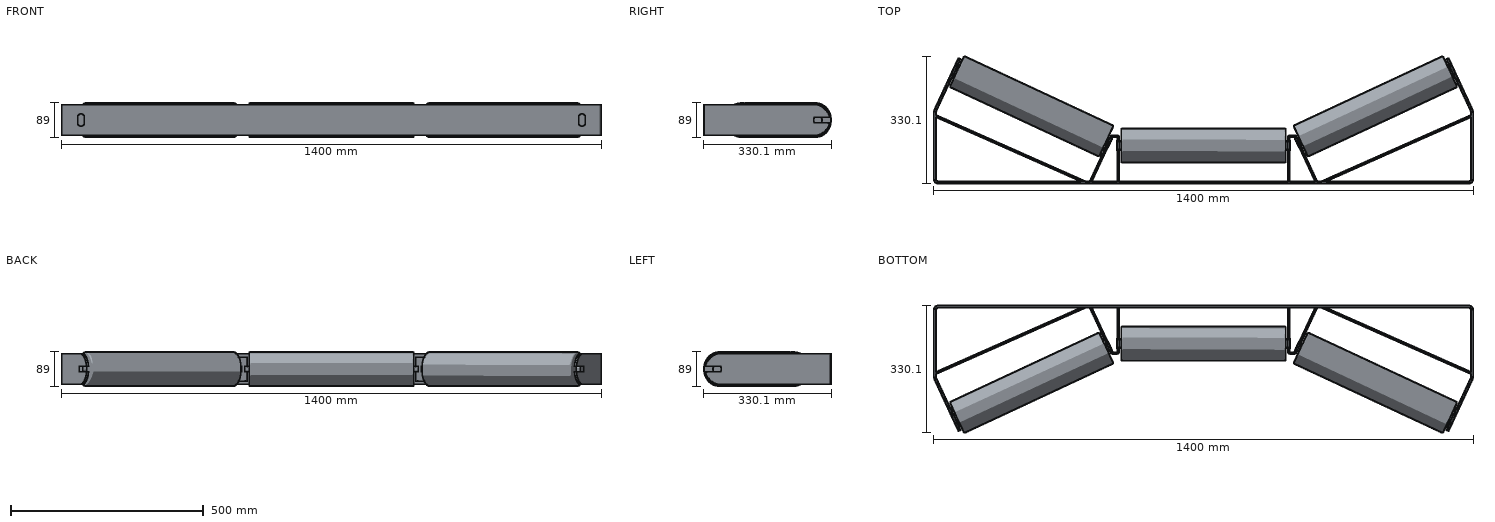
import cadquery as cq
import math

SHEET = 6.0
STRIP_WIDTH = 80.0
CORNER_RADIUS = 12.0
TILT_BEND_RADIUS = 20.0
FRAME_LENGTH = 1400.0
OVERALL_HEIGHT = 330.1

ROLLER_DIAMETER = 89.0
ROLLER_LENGTH = 428.0
ROLLER_FILLET = 4.0
ROLLER_GAP = 5.0
SHAFT_DIAMETER = 24.0
SHAFT_FLATS = 14.0

TROUGH_ANGLE = 25.0
WING_CENTRE_X = 446.0
MIDDLE_AXIS_Y = 99.0
BRACKET_TOP_Y = 126.0
BRACKET_SHEET = 5.0
BRACKET_WIDTH = 62.0
BRACKET_BEND_RADIUS = 6.0
END_PLATE_RISE = 34.0

STRUT_THICKNESS = 5.0
STRUT_WIDTH = 35.0
STRUT_WALL_Y = 178.0
STRUT_FOOT_X = 306.0

MOUNT_HOLE_X = 650.0
MOUNT_HOLE_WIDTH = 18.0
MOUNT_HOLE_LENGTH = 32.0

TILT = math.radians(TROUGH_ANGLE)
SIN = math.sin(TILT)
COS = math.cos(TILT)
HALF_FRAME = FRAME_LENGTH / 2
HALF_WIDTH = STRIP_WIDTH / 2
ROLLER_RADIUS = ROLLER_DIAMETER / 2
PLATE_INNER = ROLLER_LENGTH / 2 + ROLLER_GAP
PLATE_OUTER = PLATE_INNER + SHEET
RIM_CENTRE_X = ROLLER_LENGTH / 2 - ROLLER_FILLET
RIM_CENTRE_RADIUS = ROLLER_RADIUS - ROLLER_FILLET
WING_CENTRE_Y = OVERALL_HEIGHT - RIM_CENTRE_RADIUS * COS - RIM_CENTRE_X * SIN - ROLLER_FILLET
SLOT_HEIGHT = 100.0


def wing_point(along, up):
    """Point in the left wing roller's own frame: along its axis (inwards) and square to it."""
    return (
        -WING_CENTRE_X + along * COS + up * SIN,
        WING_CENTRE_Y - along * SIN + up * COS,
    )


def wing_face_at_x(along, x):
    """Point at the given X on the plane square to the wing axis."""
    up = (x + WING_CENTRE_X - along * COS) / SIN
    return wing_point(along, up)


def wing_face_at_y(along, y):
    """Point at the given Y on the plane square to the wing axis."""
    up = (y - WING_CENTRE_Y + along * SIN) / COS
    return wing_point(along, up)


def mirrored_x(body):
    return body.mirror("YZ")


def extrude_across(points, width):
    """Prism of an XY outline, centred on Z = 0."""
    return cq.Workplane("XY").polyline(points).close().extrude(width / 2, both=True)


def round_bend(body, point, radius):
    """Round the bend edge that runs along Z through the given XY point."""
    x, y = point
    return body.edges(cq.selectors.NearestToPointSelector((x, y, 0))).fillet(radius)


def place_on_wing(body):
    """Move a body from the middle of the X axis onto the left wing roller axis."""
    return body.rotate((0, 0, 0), (0, 0, 1), -TROUGH_ANGLE).translate((-WING_CENTRE_X, WING_CENTRE_Y, 0))


def place_on_middle(body):
    return body.translate((0, MIDDLE_AXIS_Y, 0))


def cylinder_along_x(radius, length):
    """Cylinder centred on the origin."""
    return cq.Workplane("YZ", origin=(-length / 2, 0, 0)).circle(radius).extrude(length)


def shaft_with_flats():
    shaft = cylinder_along_x(SHAFT_DIAMETER / 2, 2 * PLATE_OUTER)
    flats = cq.Workplane("XY").box(2 * PLATE_OUTER, SHAFT_DIAMETER, SHAFT_FLATS)
    return shaft.intersect(flats)


def roller():
    drum = cylinder_along_x(ROLLER_RADIUS, ROLLER_LENGTH).edges("%CIRCLE").fillet(ROLLER_FILLET)
    return drum.union(shaft_with_flats())


def shaft_slots():
    open_top = cq.Workplane("XY").box(
        2 * PLATE_OUTER, SLOT_HEIGHT, SHAFT_FLATS, centered=(True, False, True)
    )
    return shaft_with_flats().union(open_top)


def frame():
    wall_inner = HALF_FRAME - SHEET
    outer_bend = wing_face_at_x(-PLATE_OUTER, -HALF_FRAME)
    inner_bend = wing_face_at_x(-PLATE_INNER, -wall_inner)
    half = extrude_across(
        [
            (0, 0),
            (-HALF_FRAME, 0),
            outer_bend,
            wing_point(-PLATE_OUTER, END_PLATE_RISE),
            wing_point(-PLATE_INNER, END_PLATE_RISE),
            inner_bend,
            (-wall_inner, SHEET),
            (0, SHEET),
        ],
        STRIP_WIDTH,
    )
    half = round_bend(half, (-HALF_FRAME, 0), CORNER_RADIUS)
    half = round_bend(half, (-wall_inner, SHEET), CORNER_RADIUS - SHEET)
    half = round_bend(half, outer_bend, TILT_BEND_RADIUS)
    half = round_bend(half, inner_bend, TILT_BEND_RADIUS - SHEET)

    half = half.cut(place_on_wing(end_plate_corners())).cut(place_on_wing(shaft_slots()))
    return half.union(mirrored_x(half)).cut(mount_holes())


def end_plate_corners():
    """Waste outside the full round at the tip of an end plate."""
    round_centre = END_PLATE_RISE - HALF_WIDTH
    waste = cq.Workplane("YZ", origin=(-PLATE_OUTER, round_centre, 0))
    block = waste.rect(STRIP_WIDTH, STRIP_WIDTH).extrude(SHEET).translate((0, HALF_WIDTH, 0))
    return block.cut(waste.circle(HALF_WIDTH).extrude(SHEET))


def mount_holes():
    return (
        cq.Workplane("XZ")
        .pushPoints([(-MOUNT_HOLE_X, 0), (MOUNT_HOLE_X, 0)])
        .slot2D(MOUNT_HOLE_LENGTH, MOUNT_HOLE_WIDTH, 90)
        .extrude(-SHEET)
    )


def bracket():
    under_cap = BRACKET_TOP_Y - BRACKET_SHEET
    far_face = PLATE_INNER + BRACKET_SHEET
    middle_outer_bend = (-PLATE_INNER, BRACKET_TOP_Y)
    middle_inner_bend = (-far_face, under_cap)
    wing_outer_bend = wing_face_at_y(PLATE_INNER, BRACKET_TOP_Y)
    wing_inner_bend = wing_face_at_y(far_face, under_cap)
    body = extrude_across(
        [
            (-PLATE_INNER, SHEET),
            middle_outer_bend,
            wing_outer_bend,
            wing_face_at_y(PLATE_INNER, SHEET),
            wing_face_at_y(far_face, SHEET),
            wing_inner_bend,
            middle_inner_bend,
            (-far_face, SHEET),
        ],
        BRACKET_WIDTH,
    )
    for point in [middle_outer_bend, wing_outer_bend]:
        body = round_bend(body, point, BRACKET_BEND_RADIUS)
    for point in [middle_inner_bend, wing_inner_bend]:
        body = round_bend(body, point, BRACKET_BEND_RADIUS - BRACKET_SHEET)
    return body.cut(place_on_wing(shaft_slots())).cut(place_on_middle(shaft_slots()))


def strut():
    wall_x = -(HALF_FRAME - SHEET)
    slope = math.atan2(STRUT_WALL_Y - SHEET, -STRUT_FOOT_X - wall_x)
    return extrude_across(
        [
            (wall_x, STRUT_WALL_Y),
            (-STRUT_FOOT_X, SHEET),
            (-STRUT_FOOT_X - STRUT_THICKNESS / math.sin(slope), SHEET),
            (wall_x, STRUT_WALL_Y - STRUT_THICKNESS / math.cos(slope)),
        ],
        STRUT_WIDTH,
    )


bodies = [frame().val(), place_on_middle(roller()).val()]
for left_body in [bracket(), strut(), place_on_wing(roller())]:
    bodies.append(left_body.val())
    bodies.append(mirrored_x(left_body).val())

result = cq.Compound.makeCompound(bodies)